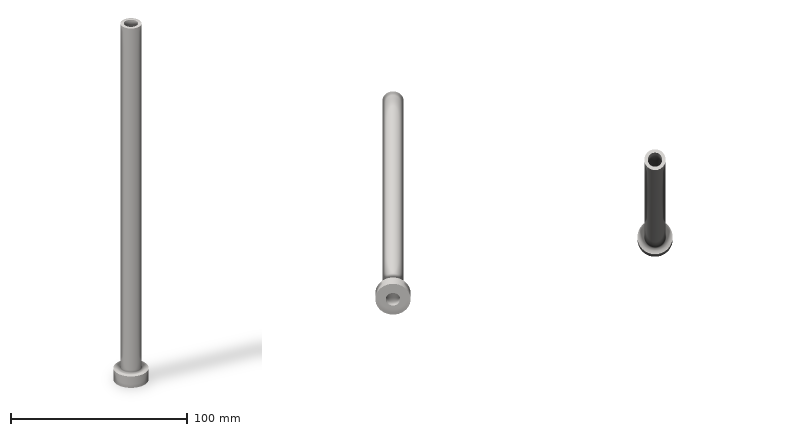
import cadquery as cq

total_length = 232.0
head_diameter = 20.0
head_height = 7.5
tube_diameter = 12.0
bore_diameter = 8.1
root_fillet = 0.7

head_radius = head_diameter / 2
tube_radius = tube_diameter / 2
bore_radius = bore_diameter / 2

half_section = (
    cq.Workplane("XZ")
    .moveTo(bore_radius, 0)
    .lineTo(head_radius, 0)
    .lineTo(head_radius, head_height)
    .lineTo(tube_radius + root_fillet, head_height)
    .radiusArc((tube_radius, head_height + root_fillet), root_fillet)
    .lineTo(tube_radius, total_length)
    .lineTo(bore_radius, total_length)
    .close()
)

result = half_section.revolve(360, (0, 0, 0), (0, 1, 0))